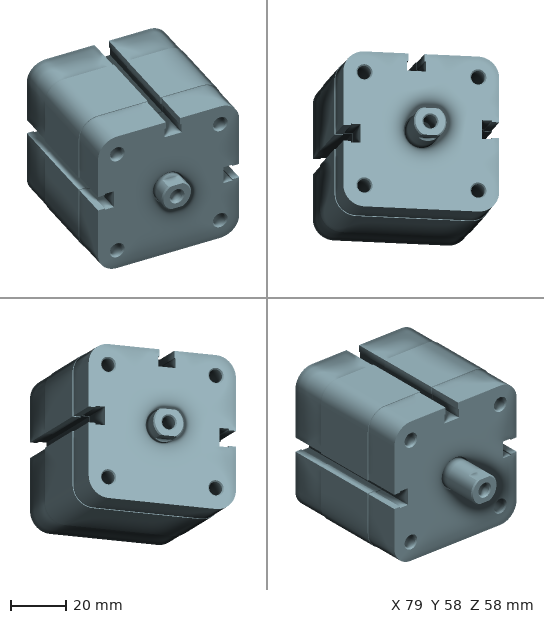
import cadquery as cq
import math


barrel_length = 26.5
cap_length = 14.75
body_half_length = barrel_length / 2 + cap_length
rod_front_reach = 16.5
rod_rear_reach = 6.5

barrel_width = 58.0
corner_radius = 8.0
cap_inset = 0.25

slot_offset = 1.75
slot_mouth_width = 5.35
slot_pocket_width = 6.4
slot_lip_depth = 3.0
slot_depth = 6.4
slot_turns = (0, 90, -90)

bolt_spacing = 42.0
bolt_hole_diameter = 5.0
bolt_hole_chamfer = 0.5

rod_diameter = 12.0
rod_chamfer = 0.5
rod_bore_chamfer = 0.5
across_flats = 10.0
flat_length = 5.0
flat_end_lean = 30.0
tapped_hole_diameter = 5.0
tapped_hole_chamfer = 0.5
tapped_hole_depth = 12.0
drill_point_angle = 118.0


def slot_cutter(length, inset):
    """T-shaped slot along X in the +Z face, its sides and floor drawn back by the inset."""
    mouth_half = slot_mouth_width / 2 + inset
    pocket_half = slot_pocket_width / 2 + inset
    face_z = barrel_width / 2
    shoulder_z = face_z - slot_lip_depth
    floor_z = face_z - slot_depth - inset
    mouth = cq.Workplane("XY").box(length, 2 * mouth_half, face_z - floor_z, centered=(True, True, False))
    pocket = cq.Workplane("XY").box(length, 2 * pocket_half, shoulder_z - floor_z, centered=(True, True, False))
    return mouth.union(pocket).translate((0, slot_offset, floor_z))


def slotted_block(length, inset):
    """Rounded square block centred on the origin with slots, tie holes and the rod passage."""
    width = barrel_width - 2 * inset
    block = cq.Workplane("XY").box(length, width, width).edges("|X").fillet(corner_radius - inset)
    for turn in slot_turns:
        block = block.cut(slot_cutter(length, inset).rotate((0, 0, 0), (1, 0, 0), turn))
    end_face = block.faces("<X").workplane(origin=(0, 0, 0))
    block = end_face.rect(bolt_spacing, bolt_spacing, forConstruction=True).vertices().hole(bolt_hole_diameter)
    return block.faces("<X").workplane(origin=(0, 0, 0)).hole(rod_diameter)


def chamfer_cone(diameter, chamfer):
    """45 degree cone about the X axis that widens a hole where it opens at x = 0."""
    radius = diameter / 2
    profile = [(0, 0), (0, radius + chamfer), (chamfer, radius), (chamfer, 0)]
    return cq.Workplane("XY").polyline(profile).close().revolve(360, (0, 0), (1, 0))


def make_front_cap():
    """Cap at the -X end, its hole edges chamfered on the outer face."""
    cap = slotted_block(cap_length, cap_inset)
    cap = cap.translate((-body_half_length + cap_length / 2, 0, 0))
    cap = cap.cut(chamfer_cone(rod_diameter, rod_bore_chamfer).translate((-body_half_length, 0, 0)))
    bolt_cone = chamfer_cone(bolt_hole_diameter, bolt_hole_chamfer)
    for y in (-bolt_spacing / 2, bolt_spacing / 2):
        for z in (-bolt_spacing / 2, bolt_spacing / 2):
            cap = cap.cut(bolt_cone.translate((-body_half_length, y, z)))
    return cap


def make_rear_cap():
    """Cap at the +X end, the mirror image of the front cap."""
    return make_front_cap().mirror("YZ")


def make_barrel():
    return slotted_block(barrel_length, 0)


def rod_end_cutter():
    """Flats and tapped hole of a rod end whose face lies at x = 0, the rod running to +X."""
    rod_radius = rod_diameter / 2
    flat_z = across_flats / 2
    flat_run_out = (rod_radius - flat_z) * math.tan(math.radians(flat_end_lean))
    flat_profile = [
        (0, flat_z),
        (flat_length, flat_z),
        (flat_length + flat_run_out, rod_radius),
        (0, rod_radius),
    ]
    upper_flat = cq.Workplane("XZ").polyline(flat_profile).close().extrude(rod_radius, both=True)
    lower_flat = upper_flat.mirror("XY")

    hole_radius = tapped_hole_diameter / 2
    point_length = hole_radius / math.tan(math.radians(drill_point_angle / 2))
    hole_profile = [
        (0, 0),
        (0, hole_radius + tapped_hole_chamfer),
        (tapped_hole_chamfer, hole_radius),
        (tapped_hole_depth, hole_radius),
        (tapped_hole_depth + point_length, 0),
    ]
    hole = cq.Workplane("XY").polyline(hole_profile).close().revolve(360, (0, 0), (1, 0))
    return upper_flat.union(lower_flat).union(hole)


def make_piston_rod():
    front_x = -body_half_length - rod_front_reach
    rear_x = body_half_length + rod_rear_reach
    rod = cq.Workplane("YZ", origin=(front_x, 0, 0)).circle(rod_diameter / 2).extrude(rear_x - front_x)
    rod = rod.edges("%CIRCLE").chamfer(rod_chamfer)
    rod = rod.cut(rod_end_cutter().translate((front_x, 0, 0)))
    return rod.cut(rod_end_cutter().mirror("YZ").translate((rear_x, 0, 0)))


front_cap = make_front_cap()
barrel = make_barrel()
rear_cap = make_rear_cap()
piston_rod = make_piston_rod()

result = cq.Compound.makeCompound([front_cap.val(), barrel.val(), rear_cap.val(), piston_rod.val()])